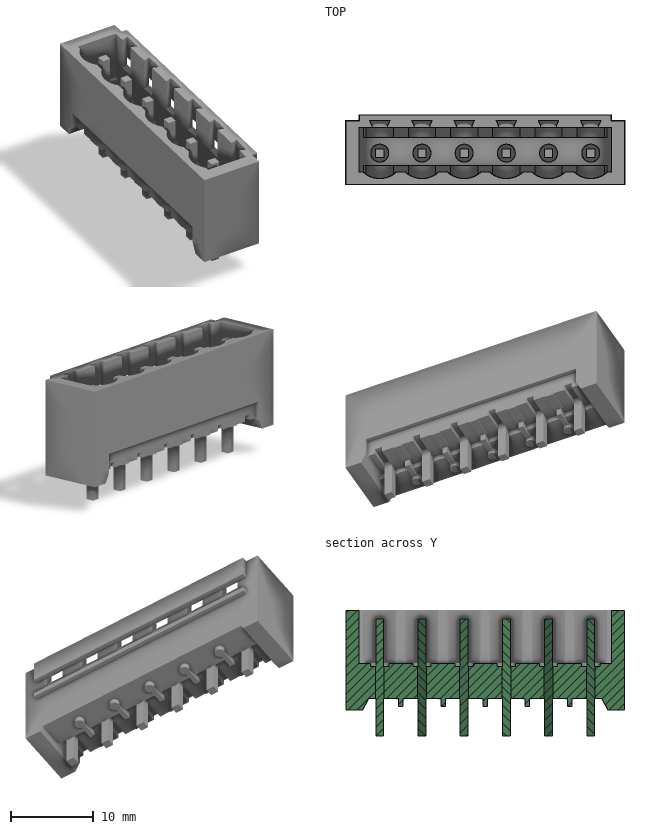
import cadquery as cq
import math


LENGTH = 33.68
DEPTH = 7.7
HEIGHT = 12.02

PIN_COUNT = 6
PITCH = 5.1
PIN_SIZE = 1.0
PIN_Y = 3.77
PIN_TOP = 11.0
PIN_BOTTOM = -3.15
PIN_WELL_Y = 3.8
PIN_WELL_DIAMETER = 2.15
PIN_WELL_DEPTH = 0.35

CAVITY_LENGTH = 30.38
CAVITY_FRONT = 1.5
CAVITY_BACK = 6.87
DECK_Z = 5.62
SCALLOP_FRONT = 0.75
LAND_WIDTH = 1.1
SCALLOP_HALF_CHORD = (PITCH - LAND_WIDTH) / 2
SCALLOP_SAGITTA = CAVITY_FRONT - SCALLOP_FRONT
SCALLOP_RADIUS = (SCALLOP_HALF_CHORD**2 + SCALLOP_SAGITTA**2) / (2 * SCALLOP_SAGITTA)

TROUGH_LENGTH = PIN_COUNT * PITCH - LAND_WIDTH
TROUGH_DEPTH = 1.35
TROUGH_Z = DECK_Z - TROUGH_DEPTH
PIN_BAR_FRONT = 2.32
PIN_BAR_BACK = 5.7
HUMP_HALF_WIDTH = 1.65
HUMP_RADIUS = 1.65
HUMP_SLOPE = math.radians(50)

SLOT_NECK_WIDTH = 1.9
SLOT_BACK_WIDTH = 2.42
SLOT_NECK_LENGTH = 0.25
SLOT_FLOOR_Z = 7.95

RIM_LENGTH = CAVITY_LENGTH
RIM_DEPTH = 0.7
RIM_HEIGHT = 3.03
RIB_DEPTH = 0.65
RIB_BOTTOM_Z = 6.03
RIB_HEIGHT = 0.67

RECESS_LENGTH = 28.25
RECESS_DEPTH = 0.6
RECESS_TOP_Z = 3.57
UNDERSIDE_Z = 1.35
UNDERCUT_TOP_LENGTH = 28.1
UNDERCUT_BOTTOM_LENGTH = 29.5
NOTCH_WIDTH = 0.95
NOTCH_TOP_Z = 2.05
LIP_HEIGHT = 0.1
REAR_LEDGE_FRONT = PIN_Y + PIN_SIZE / 2
REAR_LEDGE_Z = 0.67
FOOT_DIAMETER = 1.2
FOOT_Y = (REAR_LEDGE_FRONT + DEPTH) / 2
WEB_WIDTH = 0.6
WEB_FRONT = PIN_Y - PIN_SIZE / 2
WEB_BOTTOM_Z = 0.37

PIN_XS = [(i - (PIN_COUNT - 1) / 2) * PITCH for i in range(PIN_COUNT)]
GAP_XS = [x + PITCH / 2 for x in PIN_XS[:-1]]


def block(length, front, back, bottom, top, x=0.0):
    """Box centred on x, between the given front/back Y and bottom/top Z."""
    box = cq.Workplane("XY").box(length, back - front, top - bottom, centered=(True, False, False))
    return box.translate((x, front, bottom))


def scallop_cylinder(x, bottom):
    """Upright cylinder whose front bulges into the cavity's front wall."""
    cylinder = cq.Workplane("XY").circle(SCALLOP_RADIUS).extrude(HEIGHT - bottom)
    return cylinder.translate((x, SCALLOP_FRONT + SCALLOP_RADIUS, bottom))


def scallops(bottom):
    """Front bays of the cavity, one at each pin, reaching back only to the flat wall."""
    bays = block(LENGTH, 0, CAVITY_FRONT, bottom, HEIGHT)
    cylinders = scallop_cylinder(PIN_XS[0], bottom)
    for x in PIN_XS[1:]:
        cylinders = cylinders.union(scallop_cylinder(x, bottom))
    return bays.intersect(cylinders)


def hump(x):
    """Round-topped ridge along Y, with flanks tangent to the crown."""
    crown_half = HUMP_RADIUS * math.sin(HUMP_SLOPE)
    flank_rise = (HUMP_HALF_WIDTH - crown_half) * math.tan(HUMP_SLOPE)
    crest = flank_rise + HUMP_RADIUS * (1 - math.cos(HUMP_SLOPE))
    profile = (
        cq.Workplane("XZ")
        .moveTo(-HUMP_HALF_WIDTH, 0)
        .lineTo(-crown_half, flank_rise)
        .threePointArc((0, crest), (crown_half, flank_rise))
        .lineTo(HUMP_HALF_WIDTH, 0)
        .close()
    )
    return profile.extrude(-DEPTH).translate((x, 0, TROUGH_Z))


def troughs():
    """Space of both floor troughs, with the humps left standing in it."""
    front = block(TROUGH_LENGTH, CAVITY_FRONT, PIN_BAR_FRONT, TROUGH_Z, DECK_Z)
    back = block(TROUGH_LENGTH, PIN_BAR_BACK, CAVITY_BACK, TROUGH_Z, DECK_Z)
    space = front.union(scallops(TROUGH_Z)).union(back)
    for x in PIN_XS:
        space = space.cut(hump(x))
    return space


def keying_slot(x):
    """Dovetail slot through the back wall, down to the slot floor."""
    neck = SLOT_NECK_WIDTH / 2
    wide = SLOT_BACK_WIDTH / 2
    flank_start = CAVITY_BACK + SLOT_NECK_LENGTH
    half = [(neck, CAVITY_BACK), (neck, flank_start), (wide, DEPTH)]
    mirrored = [(-px, py) for px, py in reversed(half)]
    slot = cq.Workplane("XY").polyline(half + mirrored).close().extrude(HEIGHT - SLOT_FLOOR_Z)
    return slot.translate((x, 0, SLOT_FLOOR_Z))


def undercut():
    """Space between the end legs, with sloping ends, under the whole floor."""
    top = UNDERCUT_TOP_LENGTH / 2
    bottom = UNDERCUT_BOTTOM_LENGTH / 2
    outline = [(-bottom, 0), (bottom, 0), (top, UNDERSIDE_Z), (-top, UNDERSIDE_Z)]
    return cq.Workplane("XZ").polyline(outline).close().extrude(-DEPTH)


def add_underside_details(body):
    """Rear ledge, and the lip, web and foot midway between neighbouring pins."""
    ledge = block(UNDERCUT_BOTTOM_LENGTH, REAR_LEDGE_FRONT, DEPTH, REAR_LEDGE_Z, UNDERSIDE_Z)
    body = body.union(ledge)
    for x in GAP_XS:
        lip = block(LAND_WIDTH, RECESS_DEPTH, WEB_FRONT, UNDERSIDE_Z - LIP_HEIGHT, UNDERSIDE_Z, x)
        web = block(WEB_WIDTH, WEB_FRONT, FOOT_Y, WEB_BOTTOM_Z, UNDERSIDE_Z, x)
        foot = cq.Workplane("XY").circle(FOOT_DIAMETER / 2).extrude(UNDERSIDE_Z)
        body = body.union(lip).union(web).union(foot.translate((x, FOOT_Y, 0)))
    return body


def pin(x):
    """Straight square contact pin."""
    half = PIN_SIZE / 2
    return block(PIN_SIZE, PIN_Y - half, PIN_Y + half, PIN_BOTTOM, PIN_TOP, x)


def make_housing():
    body = block(LENGTH, 0, DEPTH, 0, HEIGHT)
    body = body.union(block(RIM_LENGTH, DEPTH, DEPTH + RIM_DEPTH, HEIGHT - RIM_HEIGHT, HEIGHT))
    body = body.union(block(RIM_LENGTH, DEPTH, DEPTH + RIB_DEPTH, RIB_BOTTOM_Z, RIB_BOTTOM_Z + RIB_HEIGHT))

    body = body.cut(block(CAVITY_LENGTH, CAVITY_FRONT, CAVITY_BACK, DECK_Z, HEIGHT))
    body = body.cut(scallops(DECK_Z)).cut(troughs())
    body = body.cut(block(RECESS_LENGTH, 0, RECESS_DEPTH, 0, RECESS_TOP_Z)).cut(undercut())
    body = add_underside_details(body)

    for x in PIN_XS:
        well = cq.Workplane("XY").circle(PIN_WELL_DIAMETER / 2).extrude(PIN_WELL_DEPTH)
        body = body.cut(keying_slot(x))
        body = body.cut(well.translate((x, PIN_WELL_Y, DECK_Z - PIN_WELL_DEPTH)))
        body = body.cut(block(NOTCH_WIDTH, 0, PIN_Y, UNDERSIDE_Z, NOTCH_TOP_Z, x))
        body = body.cut(pin(x))
    return body


housing = make_housing()
pins = [pin(x) for x in PIN_XS]

result = cq.Compound.makeCompound([housing.val(), *[p.val() for p in pins]])